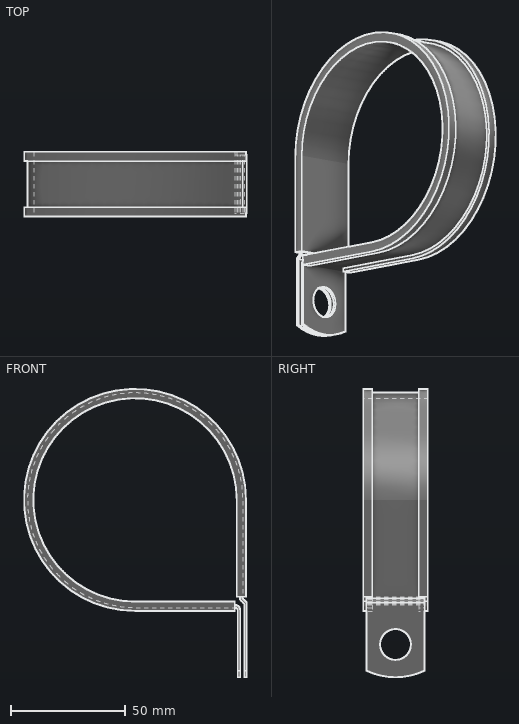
import cadquery as cq
import math

cushion_width = 28.5
loop_radius = 48.7
cushion_thickness = 4.2
groove_width = 20.2
groove_depth = 1.5
upright_end_z = -42.5
floor_end_x = 43.8

strap_width = 25.5
strap_thickness = 1.2
strap_outer = loop_radius - groove_depth
strap_inner = strap_outer - strap_thickness

tab_bottom_z = -77.8
tab_end_sag = 2.9
bend_radius = 1.2
jog = 1.9
jog_start_z = -43.6
hole_diameter = 13.4
hole_z = -63.4


def extrude_centred(profile, width):
    """Extrude an XZ profile symmetrically about Y = 0."""
    return profile.extrude(width / 2, both=True)


def loop_band(outer, inner, width):
    """Three-quarter ring with a straight tangent leg at each end."""
    diagonal = math.sqrt(0.5)
    profile = (
        cq.Workplane("XZ")
        .moveTo(outer, upright_end_z)
        .lineTo(outer, 0)
        .threePointArc((-outer * diagonal, outer * diagonal), (0, -outer))
        .lineTo(floor_end_x, -outer)
        .lineTo(floor_end_x, -inner)
        .lineTo(0, -inner)
        .threePointArc((-inner * diagonal, inner * diagonal), (inner, 0))
        .lineTo(inner, upright_end_z)
        .close()
    )
    return extrude_centred(profile, width)


def bottom_leg_tab():
    """Tab that turns down through a round bend from the bottom leg."""
    outer_bend = bend_radius + strap_thickness
    left = floor_end_x + bend_radius
    right = floor_end_x + outer_bend
    bend_end_z = -strap_outer - bend_radius
    profile = (
        cq.Workplane("XZ")
        .moveTo(floor_end_x, -strap_inner)
        .radiusArc((right, bend_end_z), outer_bend)
        .lineTo(right, tab_bottom_z)
        .lineTo(left, tab_bottom_z)
        .lineTo(left, bend_end_z)
        .radiusArc((floor_end_x, -strap_outer), -bend_radius)
        .close()
    )
    return extrude_centred(profile, strap_width)


def upright_leg_tab():
    """Tab that steps outward at 45 degrees below the upright leg."""
    mitre = strap_thickness * math.tan(math.radians(22.5))
    profile = cq.Workplane("XZ").polyline([
        (strap_inner, upright_end_z),
        (strap_inner, jog_start_z),
        (strap_inner + jog, jog_start_z - jog),
        (strap_inner + jog, tab_bottom_z),
        (strap_outer + jog, tab_bottom_z),
        (strap_outer + jog, jog_start_z + mitre - jog),
        (strap_outer, jog_start_z + mitre),
        (strap_outer, upright_end_z),
    ]).close()
    return extrude_centred(profile, strap_width)


def tab_outline():
    """Block along X whose YZ outline has the rounded lower end of the tabs."""
    half_width = strap_width / 2
    corner_z = tab_bottom_z + tab_end_sag
    return (
        cq.Workplane("YZ")
        .moveTo(-half_width, 0)
        .lineTo(-half_width, corner_z)
        .threePointArc((0, tab_bottom_z), (half_width, corner_z))
        .lineTo(half_width, 0)
        .close()
        .extrude(2 * loop_radius)
    )


cushion = loop_band(loop_radius, loop_radius - cushion_thickness, cushion_width)
groove = loop_band(loop_radius, strap_outer, groove_width)

bolt_hole = (
    cq.Workplane("YZ")
    .center(0, hole_z)
    .circle(hole_diameter / 2)
    .extrude(2 * loop_radius)
)
tabs = bottom_leg_tab().union(upright_leg_tab()).intersect(tab_outline()).cut(bolt_hole)

result = cushion.cut(groove).union(tabs)